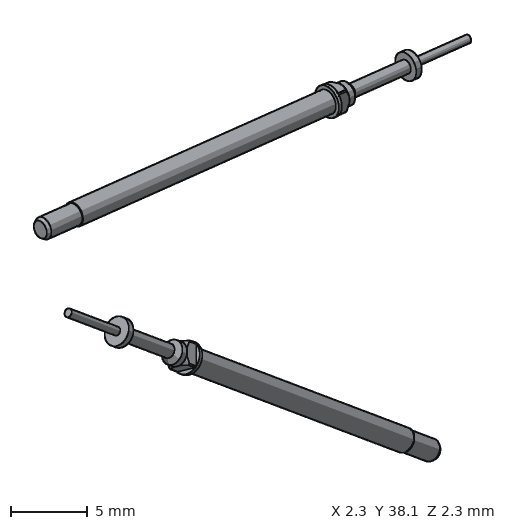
import cadquery as cq

total_length = 38.08

tip_dia = 1.55
tip_face_dia = 1.25
barrel_dia = 1.7
flange_dia = 2.3
square_corner_dia = 2.25
neck_dia = 1.0
disc_dia = 2.0
wire_dia = 0.6

tip_length = 3.0
tip_chamfer_length = 0.25
barrel_length = 22.5
flange_thickness = 0.25
square_length = 0.95
collar_length = 0.5
disc_thickness = 0.5
wire_length = 5.05

square_across_flats = 1.68

barrel_start = tip_length
flange_start = barrel_start + barrel_length
flange_end = flange_start + flange_thickness
square_end = flange_end + square_length
collar_end = square_end + collar_length
collar_chamfer = (barrel_dia - neck_dia) / 2
wire_start = total_length - wire_length
disc_start = wire_start - disc_thickness


def cylinder(diameter, start, end):
    """Round section of the pin from y = start to y = end."""
    return cq.Workplane("XZ", origin=(0, start, 0)).circle(diameter / 2).extrude(start - end)


def cone(start_dia, end_dia, start, end):
    """Tapered round section of the pin from y = start to y = end."""
    outline = [(0, start), (start_dia / 2, start), (end_dia / 2, end), (0, end)]
    return cq.Workplane("XY").polyline(outline).close().revolve(360, (0, 0, 0), (0, 1, 0))


def plunger_tip():
    """Thinner front end with a chamfered rim."""
    rim = cone(tip_face_dia, tip_dia, 0, tip_chamfer_length)
    return rim.union(cylinder(tip_dia, tip_chamfer_length, barrel_start))


def wrench_square():
    """Four flats cut on a cylinder whose rear is turned down at 45 degrees to the collar."""
    cone_length = (square_corner_dia - barrel_dia) / 2
    cone_start = square_end - cone_length
    turned = cylinder(square_corner_dia, flange_end, cone_start)
    turned = turned.union(cone(square_corner_dia, barrel_dia, cone_start, square_end))
    flats = (
        cq.Workplane("XZ", origin=(0, flange_end, 0))
        .rect(square_across_flats, square_across_flats)
        .extrude(-square_length)
    )
    return turned.intersect(flats)


def collar():
    """Round shoulder behind the square, chamfered at 45 degrees down to the neck."""
    chamfer = cone(barrel_dia, neck_dia, collar_end, collar_end + collar_chamfer)
    return cylinder(barrel_dia, square_end, collar_end).union(chamfer)


result = (
    plunger_tip()
    .union(cylinder(barrel_dia, barrel_start, flange_start))
    .union(cylinder(flange_dia, flange_start, flange_end))
    .union(wrench_square())
    .union(collar())
    .union(cylinder(neck_dia, collar_end, disc_start))
    .union(cylinder(disc_dia, disc_start, wire_start))
    .union(cylinder(wire_dia, wire_start, total_length))
)